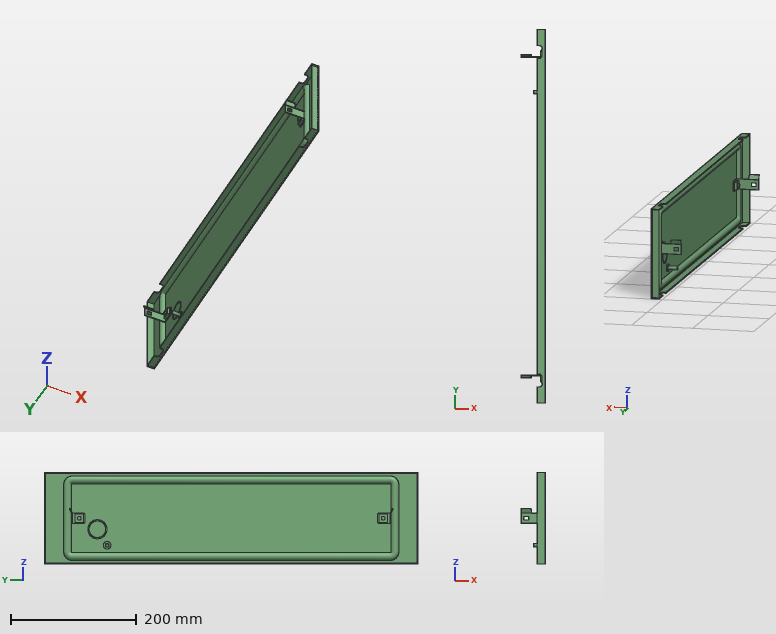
import cadquery as cq
import math

panel_length = 595.0
panel_height = 146.0
panel_depth = 13.0
sheet = 1.7
floor_x = panel_depth - sheet
end_bend_radius = 1.0

notch_start = 26.0
notch_end = 46.0
notch_depth = 8.0
notch_radius = 5.0

gasket_width = 12.4
gasket_rise = gasket_width / 2
gasket_end_inset = 30.8
gasket_side_inset = 5.8
gasket_inner_radius = 1.5

bracket_reach = 25.5
bracket_thickness = 1.5
bracket_height = 16.5
bracket_bend_radius = 0.5
bracket_z = 0.0
web_inset = gasket_end_inset + gasket_width
foot_length = 21.8
foot_corner_radius = 3.0
tab_length = 16.5
tab_rise = 7.5
tab_lean = 3.5
tab_corner_radius = 3.0
slot_length = 7.5
slot_height = 5.5
slot_corner_radius = 1.0
slot_from_tip = 8.2

stud_radius = 3.0
stud_chamfer = 0.5
bracket_stud_from_web = 12.5
bracket_stud_length = 8.0
nut_width = 13.0
nut_height = 4.0

earth_stud_inset = 100.0
earth_stud_z = -43.0
earth_stud_proud = 5.5
collar_radius = 6.0
collar_thickness = 2.0
ring_outer_radius = 15.2
ring_inner_radius = 13.2
ring_depth = 0.3
mark_inset = 84.5
mark_z = -17.5

half_length = panel_length / 2
foot_top_x = floor_x - bracket_thickness
bracket_stud_y = half_length - web_inset - bracket_stud_from_web
earth_stud_y = half_length - earth_stud_inset


def rod(start_x, end_x, y, z, radius):
    """Cylinder along X between two X positions."""
    plane = cq.Workplane("YZ", origin=(start_x, y, z))
    return plane.circle(radius).extrude(end_x - start_x)


def make_notch():
    """Cutter for the +Y notch; it passes through both long walls."""
    length = notch_end - notch_start
    middle_y = half_length - (notch_start + notch_end) / 2
    block = cq.Workplane("XY").box(2 * notch_depth, length, 2 * panel_height)
    return block.edges(">X and |Z").fillet(notch_radius).translate((0, middle_y, 0))


def make_ring_groove():
    """Cutter for the shallow ring beside the earth stud."""
    plane = cq.Workplane("YZ", origin=(floor_x, half_length - mark_inset, mark_z))
    return plane.circle(ring_outer_radius).circle(ring_inner_radius).extrude(ring_depth)


def make_panel():
    """Tray with rounded end bends, notched rims and the ring groove."""
    body = cq.Workplane("XY").box(panel_depth, panel_length, panel_height, centered=(False, True, True))
    body = body.edges(">X and |Z").fillet(end_bend_radius)
    inside = cq.Workplane("XY").box(
        floor_x, panel_length - 2 * sheet, panel_height - 2 * sheet, centered=(False, True, True)
    )
    notch = make_notch()
    body = body.cut(inside).cut(notch).cut(notch.mirror("XZ"))
    return body.cut(make_ring_groove())


def make_gasket():
    """Half-round section swept round a rectangle with rounded corners."""
    half_path_y = half_length - gasket_end_inset - gasket_width / 2
    half_path_z = panel_height / 2 - gasket_side_inset - gasket_width / 2
    path_radius = gasket_inner_radius + gasket_width / 2
    straight_y = half_path_y - path_radius
    straight_z = half_path_z - path_radius
    diagonal = path_radius * math.sqrt(0.5)
    path = (
        cq.Workplane("YZ", origin=(floor_x, 0, 0))
        .moveTo(0, half_path_z)
        .lineTo(straight_y, half_path_z)
        .threePointArc((straight_y + diagonal, straight_z + diagonal), (half_path_y, straight_z))
        .lineTo(half_path_y, -straight_z)
        .threePointArc((straight_y + diagonal, -straight_z - diagonal), (straight_y, -half_path_z))
        .lineTo(-straight_y, -half_path_z)
        .threePointArc((-straight_y - diagonal, -straight_z - diagonal), (-half_path_y, -straight_z))
        .lineTo(-half_path_y, straight_z)
        .threePointArc((-straight_y - diagonal, straight_z + diagonal), (-straight_y, half_path_z))
        .close()
    )
    section = (
        cq.Workplane("XZ", origin=(floor_x, 0, half_path_z))
        .moveTo(0, -gasket_width / 2)
        .threePointArc((-gasket_rise, 0), (0, gasket_width / 2))
        .close()
    )
    return section.sweep(path)


def make_bracket():
    """Bracket near the +Y end."""
    web_y = half_length - web_inset
    inner_y = web_y - bracket_thickness
    base = cq.Workplane("XY", origin=(0, 0, bracket_z - bracket_height / 2))
    profile = (
        base.moveTo(-bracket_reach, web_y)
        .lineTo(floor_x, web_y)
        .lineTo(floor_x, web_y - foot_length)
        .lineTo(foot_top_x, web_y - foot_length)
        .lineTo(foot_top_x, inner_y)
        .lineTo(-bracket_reach, inner_y)
        .close()
    )
    body = profile.extrude(bracket_height)
    bend_inside = cq.selectors.NearestToPointSelector((foot_top_x, inner_y, bracket_z))
    body = body.edges("|Z").edges(bend_inside).fillet(bracket_bend_radius)
    bend_outside = cq.selectors.NearestToPointSelector((floor_x, web_y, bracket_z))
    body = body.edges("|Z").edges(bend_outside).fillet(bracket_bend_radius + bracket_thickness)
    body = body.edges("|X and <Y").fillet(foot_corner_radius)

    tab_base_z = bracket_z + bracket_height / 2
    tab = (
        cq.Workplane("YZ", origin=(-bracket_reach, 0, 0))
        .moveTo(inner_y, tab_base_z)
        .lineTo(web_y, tab_base_z)
        .lineTo(web_y + tab_lean, tab_base_z + tab_rise)
        .lineTo(web_y + tab_lean - bracket_thickness, tab_base_z + tab_rise)
        .close()
        .extrude(tab_length)
    )
    outline = cq.Workplane("XY").box(tab_length, 4 * tab_rise, tab_rise, centered=(False, True, False))
    outline = outline.edges(">X and >Z").fillet(tab_corner_radius)
    tab = tab.intersect(outline.translate((-bracket_reach, web_y, tab_base_z)))

    slot = cq.Workplane("XY").box(slot_length, 4 * bracket_thickness, slot_height)
    slot = slot.edges("|Y").fillet(slot_corner_radius)
    slot = slot.translate((slot_from_tip - bracket_reach, web_y, bracket_z))
    hole = rod(foot_top_x, floor_x, bracket_stud_y, bracket_z, stud_radius)
    return body.union(tab).cut(slot).cut(hole)


def make_bracket_stud():
    """Stud holding the +Y bracket."""
    return rod(floor_x - bracket_stud_length, floor_x, bracket_stud_y, bracket_z, stud_radius)


def make_nut():
    """Square nut on the stud of the +Y bracket."""
    plane = cq.Workplane("YZ", origin=(foot_top_x, bracket_stud_y, bracket_z))
    return plane.rect(nut_width, nut_width).extrude(-nut_height).cut(make_bracket_stud())


def make_earth_stud():
    """Chamfered stud with a round collar on the panel floor."""
    stud = rod(-earth_stud_proud, floor_x, earth_stud_y, earth_stud_z, stud_radius)
    stud = stud.faces("<X").chamfer(stud_chamfer)
    collar = rod(floor_x - collar_thickness, floor_x, earth_stud_y, earth_stud_z, collar_radius)
    return stud.union(collar)


bodies = [make_panel().val(), make_gasket().val(), make_earth_stud().val()]
for part in (make_bracket(), make_bracket_stud(), make_nut()):
    bodies += [part.val(), part.mirror("XZ").val()]

result = cq.Compound.makeCompound(bodies)